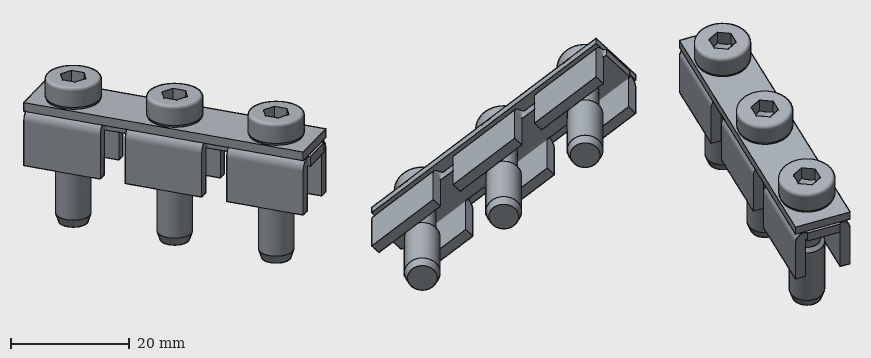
import cadquery as cq
import math

STRIP_LENGTH = 52.0
END_OVERHANG = 0.5
FLANGE_LENGTH = 14.0
SCREW_COUNT = 3
PLATE_LENGTH = STRIP_LENGTH - 2 * END_OVERHANG
PITCH = (PLATE_LENGTH - FLANGE_LENGTH) / (SCREW_COUNT - 1)
STATIONS = [(i - (SCREW_COUNT - 1) / 2) * PITCH for i in range(SCREW_COUNT)]

WIDTH = 10.0
PLATE_THICKNESS = 1.6
SHEET = 1.8
INNER_BEND = 0.2
OUTER_BEND = SHEET + INNER_BEND
CARRIER_HEIGHT = 10.15
BEND_Y = WIDTH / 2 - OUTER_BEND
RELIEF = END_OVERHANG
RELIEF_ANGLE = 45.0

HEAD_DIAMETER = 9.5
HEAD_HEIGHT = 4.0
HEAD_ROUND = 0.55
HEAD_UNDERCUT_DROP = 0.4
HEAD_UNDERCUT_INSET = 0.15
SOCKET_FLATS = 4.0
SOCKET_DEPTH = 2.4
POINT_ANGLE = 118.0
NECK_DIAMETER = 4.65
THREAD_DIAMETER = 6.05
NECK_CONE_HEIGHT = 0.6
TIP_DIAMETER = 5.0
TIP_HEIGHT = 1.55
SCREW_HEIGHT = 27.0
THREAD_HEIGHT = 12.3

PLATE_TOP = PLATE_THICKNESS
HEAD_TOP = PLATE_TOP + HEAD_HEIGHT
SCREW_END = HEAD_TOP - SCREW_HEIGHT
THREAD_TOP = SCREW_END + THREAD_HEIGHT


def box(length, width, bottom, top):
    """Block centred on X and Y between two levels."""
    return cq.Workplane("XY").workplane(offset=bottom).rect(length, width).extrude(top - bottom)


def neck_holes(bottom, top):
    """Round holes that the screw necks fill exactly."""
    points = [(x, 0) for x in STATIONS]
    plane = cq.Workplane("XY").workplane(offset=bottom)
    return plane.pushPoints(points).circle(NECK_DIAMETER / 2).extrude(top - bottom)


def make_plate():
    """Flat bar clamped under the screw heads."""
    return box(PLATE_LENGTH, WIDTH, 0, PLATE_TOP).cut(neck_holes(0, PLATE_TOP))


def make_flange():
    """Bent flange on the +Y side, centred on X."""
    outer_y = BEND_Y + OUTER_BEND
    inner_y = BEND_Y + INNER_BEND
    diagonal = math.sqrt(0.5)
    outer_mid = (BEND_Y + OUTER_BEND * diagonal, OUTER_BEND * diagonal - OUTER_BEND)
    inner_mid = (BEND_Y + INNER_BEND * diagonal, INNER_BEND * diagonal - OUTER_BEND)
    return (
        cq.Workplane("YZ", origin=(-FLANGE_LENGTH / 2, 0, 0))
        .moveTo(BEND_Y, 0)
        .threePointArc(outer_mid, (outer_y, -OUTER_BEND))
        .lineTo(outer_y, -CARRIER_HEIGHT)
        .lineTo(inner_y, -CARRIER_HEIGHT)
        .lineTo(inner_y, -OUTER_BEND)
        .threePointArc(inner_mid, (BEND_Y, -SHEET))
        .close()
        .extrude(FLANGE_LENGTH)
    )


def make_relief():
    """Concave gusset at the +X end of the +Y flange, following the upper part of the bend."""
    middle = math.radians(90 - RELIEF_ANGLE / 2)
    half = math.radians(RELIEF_ANGLE / 2)
    outward = cq.Vector(0, math.cos(middle), math.sin(middle))
    axis = cq.Vector(FLANGE_LENGTH / 2, BEND_Y, -OUTER_BEND)

    def section(reach):
        plane = cq.Plane(origin=(axis + outward * reach).toTuple(), xDir=(1, 0, 0), normal=outward.toTuple())
        rise = reach * math.tan(half)
        outline = (
            cq.Workplane(plane)
            .moveTo(0, rise)
            .lineTo(0, -rise)
            .lineTo(RELIEF, -rise)
            .bezier([(RELIEF, -rise), (0, -rise), (0, rise)])
            .close()
        )
        return outline.val()

    inner_reach = INNER_BEND / 2
    outer_reach = OUTER_BEND / math.cos(half) + RELIEF
    gusset = cq.Solid.makeLoft([section(inner_reach), section(outer_reach)], True)
    ring = (
        cq.Workplane("YZ", origin=axis.toTuple())
        .circle(OUTER_BEND)
        .circle(INNER_BEND)
        .extrude(RELIEF)
    )
    return ring.intersect(cq.Workplane(gusset))


def make_carrier():
    """Narrow strip with a pair of bent flanges around each screw."""
    wing = make_flange()
    relief = make_relief()
    wing = wing.union(relief).union(relief.mirror("YZ"))
    wings = wing.union(wing.mirror("XZ"))
    carrier = box(STRIP_LENGTH, 2 * BEND_Y, -SHEET, 0)
    for x in STATIONS:
        carrier = carrier.union(wings.translate((x, 0, 0)))
    return carrier.cut(neck_holes(-SHEET, 0))


def make_socket():
    """Hexagonal socket with a conical bottom, corners on X."""
    corner = SOCKET_FLATS / 2 / math.cos(math.radians(30))
    point_depth = corner / math.tan(math.radians(POINT_ANGLE / 2))
    floor = HEAD_TOP - SOCKET_DEPTH
    hexagon = (
        cq.Workplane("XY")
        .workplane(offset=floor - point_depth)
        .polygon(6, 2 * corner)
        .extrude(SOCKET_DEPTH + point_depth)
    )
    drill = (
        cq.Workplane("XZ")
        .moveTo(0, floor - point_depth)
        .lineTo(corner, floor)
        .lineTo(corner, HEAD_TOP)
        .lineTo(0, HEAD_TOP)
        .close()
        .revolve(360, (0, 0, 0), (0, 1, 0))
    )
    return hexagon.intersect(drill)


def make_screw(x):
    """Socket head screw with a slim neck above its thicker thread."""
    head = HEAD_DIAMETER / 2
    neck = NECK_DIAMETER / 2
    thread = THREAD_DIAMETER / 2
    tip = TIP_DIAMETER / 2
    round_mid = HEAD_ROUND * (1 - math.sqrt(0.5))
    body = (
        cq.Workplane("XZ")
        .moveTo(0, SCREW_END)
        .lineTo(tip, SCREW_END)
        .lineTo(thread, SCREW_END + TIP_HEIGHT)
        .lineTo(thread, THREAD_TOP)
        .lineTo(neck, THREAD_TOP + NECK_CONE_HEIGHT)
        .lineTo(neck, PLATE_TOP)
        .lineTo(head - HEAD_UNDERCUT_INSET, PLATE_TOP)
        .lineTo(head, PLATE_TOP + HEAD_UNDERCUT_DROP)
        .lineTo(head, HEAD_TOP - HEAD_ROUND)
        .threePointArc((head - round_mid, HEAD_TOP - round_mid), (head - HEAD_ROUND, HEAD_TOP))
        .lineTo(0, HEAD_TOP)
        .close()
        .revolve(360, (0, 0, 0), (0, 1, 0))
    )
    return body.cut(make_socket()).translate((x, 0, 0))


plate = make_plate()
carrier = make_carrier()
screws = [make_screw(x) for x in STATIONS]

result = cq.Compound.makeCompound([plate.val(), carrier.val(), *[screw.val() for screw in screws]])